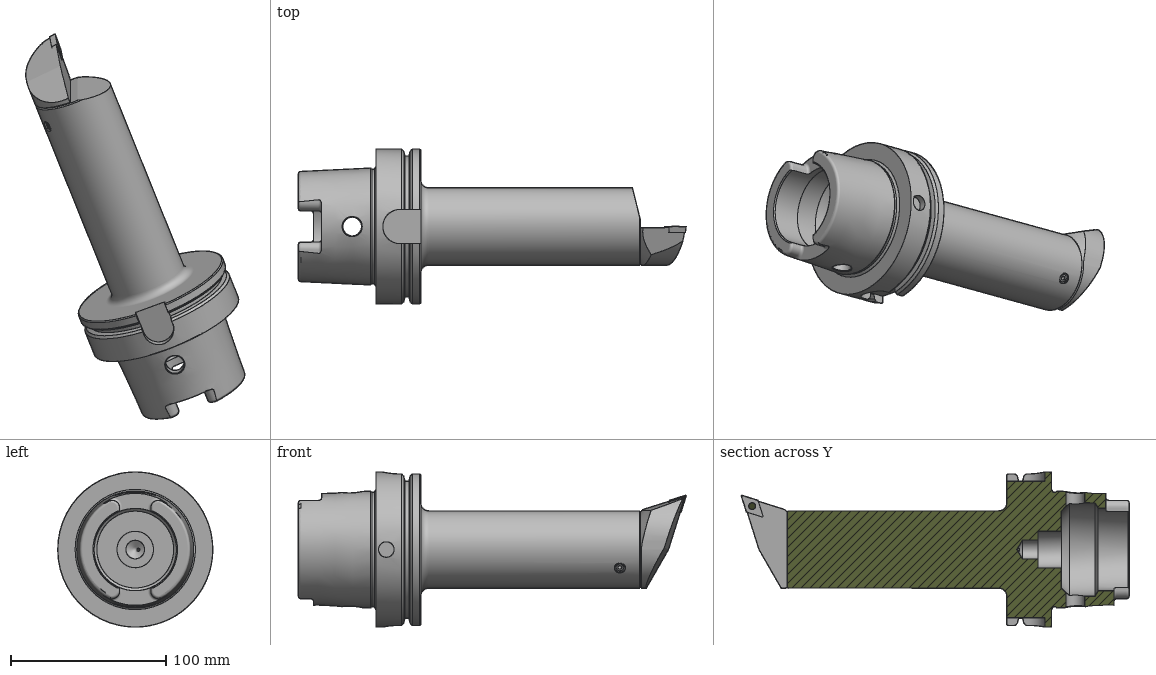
import cadquery as cq
import math


TAPER_START_R = 35.5
TAPER_END_R = 37.7
TAPER_END_X = 46.5
RIM_ROUND = 1.7
NECK_R = 37.0
NECK_START_X = 47.5
NECK_END_X = 49.0
NECK_FLARE_R = 38.7
BORE_R = 26.5
BORE_STRAIGHT_DEPTH = 20.0
CLAMP_CONE_ANGLE = 60.0
CHAMBER_R = 30.0
CHAMBER_END_X = 38.5
BORE_FLOOR_R = 24.7
BORE_MOUTH_CHAMFER = 0.7
THREAD_HOLE_R = 11.7
THREAD_HOLE_DEPTH = 15.0
COOLANT_BORE_R = 6.0
COOLANT_BORE_DEPTH = 10.0
BORE_FLOOR_X = CHAMBER_END_X + CHAMBER_R - BORE_FLOOR_R
THREAD_FLOOR_X = BORE_FLOOR_X + THREAD_HOLE_DEPTH
COOLANT_FLOOR_X = THREAD_FLOOR_X + COOLANT_BORE_DEPTH
DRILL_POINT_HALF_ANGLE = 59.0
CROSS_HOLE_X = 34.7
CROSS_HOLE_R = 6.0
CROSS_HOLE_CHAMFER = 0.5

SLOT_HALF_WIDTH = 10.0
SLOT_SHOULDER_Z = 31.7
SLOT_SHOULDER_ROUND = 5.0
SLOT_END_ROUND = 1.7
TOP_SLOT_DEPTH = 15.0
BOTTOM_SLOT_DEPTH = 9.7

FLANGE_R = 50.0
FLANGE_X = 50.0
FLANGE_END_X = 79.0
FLANGE_CHAMFER = 0.7
GROOVE_START_X = 66.5
GROOVE_END_X = 73.5
GROOVE_FLOOR_R = 45.5
GROOVE_LIP_WIDTH = 1.5
GROOVE_LIP_DEPTH = 1.5
GROOVE_FLANK_WIDTH = 0.7
TOP_KEYWAY_HALF_WIDTH = 11.0
BOTTOM_KEYWAY_HALF_WIDTH = 10.0
KEYWAY_START_X = 54.5
KEYWAY_FLOOR_Z = 44.0
CHIP_HOLE_X = 56.7
CHIP_HOLE_R = 5.0
CHIP_HOLE_DEPTH = 4.5

BAR_R = 25.0
BAR_FILLET = 5.0
BAR_CHAMFER = 0.7
BAR_END_X = 220.5
END_SLOPE = 14.0
END_CORNER_X = 221.7
END_CORNER_ROUND = 1.2
RAKE_Y = -0.7

TIP_X = 250.0
TIP_Z = 35.0
HEAD_FLAT_HEIGHT = 5.7
HEAD_UPPER_R = 31.2
TOP_EDGE_ANGLE = 17.5
HEAD_RELIEF = 7.0
HEAD_CORNER_Z = 0.0
HEAD_LOWER_X = 224.2
HEAD_INSET = 0.5

INSERT_EDGE = 11.6
INSERT_ANGLE = 55.0
INSERT_THICKNESS = 4.0
INSERT_RELIEF = 7.0
INSERT_NOSE_R = 0.5
SCREW_HEAD_R = 2.2
SCREW_SHANK_R = 1.2
SCREW_HEAD_HEIGHT = 2.0
SCREW_LENGTH = 9.0
SCREW_PROUD = 0.2

NOZZLE_X = 207.2
NOZZLE_ANGLE = 29.0
NOZZLE_R = 2.5
NOZZLE_BORE_R = 1.2
NOZZLE_LENGTH = 5.0
NOZZLE_RECESS_R = 3.5
NOZZLE_DEPTH = 1.2
CHANNEL_R = 1.0
CHANNEL_START_Y = -1.7

CLEAR = 12.5


def revolve_about_x(profile):
    """Solid of revolution of a closed XY outline about the X axis."""
    return profile.close().revolve(360, (0, 0, 0), (1, 0, 0))


def cylinder(start, direction, radius, length):
    """Cylinder from a start point along a direction."""
    return cq.Workplane(obj=cq.Solid.makeCylinder(radius, length, start, direction))


def turned_blank():
    """Outside of the taper, flange and bar in one turned shape."""
    groove_side = GROOVE_LIP_WIDTH + GROOVE_FLANK_WIDTH
    groove_lip_r = FLANGE_R - GROOVE_LIP_DEPTH
    fillet_mid = BAR_FILLET * (1 - math.sqrt(0.5))
    outline = (
        cq.Workplane("XY")
        .lineTo(0, TAPER_START_R)
        .lineTo(TAPER_END_X, TAPER_END_R)
        .lineTo(NECK_START_X, NECK_R)
        .lineTo(NECK_END_X, NECK_R)
        .lineTo(FLANGE_X, NECK_FLARE_R)
        .lineTo(FLANGE_X, FLANGE_R)
        .lineTo(GROOVE_START_X, FLANGE_R)
        .lineTo(GROOVE_START_X + GROOVE_LIP_WIDTH, groove_lip_r)
        .lineTo(GROOVE_START_X + groove_side, GROOVE_FLOOR_R)
        .lineTo(GROOVE_END_X - groove_side, GROOVE_FLOOR_R)
        .lineTo(GROOVE_END_X - GROOVE_LIP_WIDTH, groove_lip_r)
        .lineTo(GROOVE_END_X, FLANGE_R)
        .lineTo(FLANGE_END_X - FLANGE_CHAMFER, FLANGE_R)
        .lineTo(FLANGE_END_X, FLANGE_R - FLANGE_CHAMFER)
        .lineTo(FLANGE_END_X, BAR_R + BAR_FILLET)
        .threePointArc(
            (FLANGE_END_X + fillet_mid, BAR_R + fillet_mid),
            (FLANGE_END_X + BAR_FILLET, BAR_R),
        )
        .lineTo(BAR_END_X - BAR_CHAMFER, BAR_R)
        .lineTo(BAR_END_X, BAR_R - BAR_CHAMFER)
        .lineTo(BAR_END_X, 0)
    )
    return revolve_about_x(outline)


def bore():
    """Stepped hollow of the taper, ending in the coolant bore with a drill point."""
    clamp_cone_length = (CHAMBER_R - BORE_R) / math.tan(math.radians(CLAMP_CONE_ANGLE))
    drill_point = COOLANT_BORE_R / math.tan(math.radians(DRILL_POINT_HALF_ANGLE))
    outline = (
        cq.Workplane("XY")
        .lineTo(0, BORE_R + BORE_MOUTH_CHAMFER)
        .lineTo(BORE_MOUTH_CHAMFER, BORE_R)
        .lineTo(BORE_STRAIGHT_DEPTH, BORE_R)
        .lineTo(BORE_STRAIGHT_DEPTH + clamp_cone_length, CHAMBER_R)
        .lineTo(CHAMBER_END_X, CHAMBER_R)
        .lineTo(BORE_FLOOR_X, BORE_FLOOR_R)
        .lineTo(BORE_FLOOR_X, THREAD_HOLE_R)
        .lineTo(THREAD_FLOOR_X, THREAD_HOLE_R)
        .lineTo(THREAD_FLOOR_X, COOLANT_BORE_R)
        .lineTo(COOLANT_FLOOR_X, COOLANT_BORE_R)
        .lineTo(COOLANT_FLOOR_X + drill_point, 0)
    )
    return revolve_about_x(outline)


def driving_slot(depth):
    """Cutter for the +Z driving slot: a straight slot that opens out over rounded shoulders."""
    shoulder_y = SLOT_HALF_WIDTH + SLOT_SHOULDER_ROUND
    round_start_z = SLOT_SHOULDER_Z - SLOT_SHOULDER_ROUND
    outer = FLANGE_X
    cutter = (
        cq.Workplane("YZ", origin=(-CLEAR, 0, 0))
        .moveTo(-SLOT_HALF_WIDTH, 0)
        .lineTo(-SLOT_HALF_WIDTH, round_start_z)
        .radiusArc((-shoulder_y, SLOT_SHOULDER_Z), -SLOT_SHOULDER_ROUND)
        .lineTo(-outer, SLOT_SHOULDER_Z)
        .lineTo(-outer, outer)
        .lineTo(outer, outer)
        .lineTo(outer, SLOT_SHOULDER_Z)
        .lineTo(shoulder_y, SLOT_SHOULDER_Z)
        .radiusArc((SLOT_HALF_WIDTH, round_start_z), -SLOT_SHOULDER_ROUND)
        .lineTo(SLOT_HALF_WIDTH, 0)
        .close()
        .extrude(depth + CLEAR)
    )
    return cutter.faces(">X").edges().fillet(SLOT_END_ROUND)


def keyway(half_width):
    """Cutter for the +Z keyway across the flange, with a round end."""
    arc_centre_x = KEYWAY_START_X + half_width
    return (
        cq.Workplane("XY", origin=(0, 0, KEYWAY_FLOOR_Z))
        .moveTo(FLANGE_END_X, -half_width)
        .lineTo(arc_centre_x, -half_width)
        .threePointArc((KEYWAY_START_X, 0), (arc_centre_x, half_width))
        .lineTo(FLANGE_END_X, half_width)
        .close()
        .extrude(CLEAR)
    )


def flip(cutter):
    """Turn a cutter from the +Z side to the -Z side."""
    return cutter.rotate((0, 0, 0), (1, 0, 0), 180)


def head_section():
    """Cross-section of the head, drawn out along X: bar radius below, flat side, larger radius above."""
    upper_centre_y = HEAD_UPPER_R - BAR_R
    top_z = HEAD_FLAT_HEIGHT + math.sqrt(HEAD_UPPER_R**2 - upper_centre_y**2)
    return (
        cq.Workplane("YZ", origin=(BAR_END_X, 0, 0))
        .moveTo(0, -BAR_R)
        .radiusArc((-BAR_R, 0), BAR_R)
        .lineTo(-BAR_R, HEAD_FLAT_HEIGHT)
        .radiusArc((0, top_z), HEAD_UPPER_R)
        .close()
        .extrude(TIP_X - BAR_END_X)
    )


def head_flanks():
    """Prism bounded by the top, end and lower faces of the head, each with clearance towards -Y."""
    top_slope = math.tan(math.radians(TOP_EDGE_ANGLE))
    tip_x = TIP_X - HEAD_INSET
    tip_z = TIP_Z - HEAD_INSET
    corner_x = tip_x - (tip_z - HEAD_CORNER_Z) * top_slope
    lower_slope = (corner_x - HEAD_LOWER_X) / (HEAD_CORNER_Z + BAR_R)
    back_x = BAR_END_X - CLEAR
    bottom_z = -BAR_R - CLEAR
    return (
        cq.Workplane("XZ", origin=(0, RAKE_Y, 0))
        .moveTo(back_x, tip_z - (tip_x - back_x) * top_slope)
        .lineTo(tip_x, tip_z)
        .lineTo(corner_x, HEAD_CORNER_Z)
        .lineTo(HEAD_LOWER_X - CLEAR * lower_slope, bottom_z)
        .lineTo(back_x, bottom_z)
        .close()
        .extrude(BAR_R + CLEAR, taper=HEAD_RELIEF)
    )


def head_flare():
    """Cone at 45 degrees that carries the bar's end out to the wider head."""
    start_r = BAR_R - BAR_CHAMFER
    length = TIP_X - BAR_END_X
    start = cq.Vector(BAR_END_X, 0, 0)
    cone = cq.Solid.makeCone(start_r, start_r + length, length, start, cq.Vector(1, 0, 0))
    return cq.Workplane(obj=cone)


def rake_cut():
    """Cutter that slopes the bar's end on the +Y side and leaves the flat rake face."""
    top_y = BAR_R + CLEAR
    slope_run = (top_y - RAKE_Y) * math.tan(math.radians(END_SLOPE))
    return (
        cq.Workplane("XY")
        .moveTo(END_CORNER_X, RAKE_Y)
        .lineTo(TIP_X + CLEAR, RAKE_Y)
        .lineTo(TIP_X + CLEAR, top_y)
        .lineTo(END_CORNER_X - slope_run, top_y)
        .close()
        .extrude(FLANGE_R, both=True)
        .edges(cq.selectors.NearestToPointSelector((END_CORNER_X, RAKE_Y, 0)))
        .fillet(END_CORNER_ROUND)
    )


def insert_outline():
    """Rhombus with rounded corners in the XZ plane, its nose touching the tip's X and Z limits."""
    half_angle = math.radians(INSERT_ANGLE / 2)
    bisector = math.sqrt(0.5)
    nose_offset = INSERT_NOSE_R * (bisector / math.sin(half_angle) - 1)
    nose = (TIP_X + nose_offset, TIP_Z + nose_offset)
    top_angle = math.radians(TOP_EDGE_ANGLE)
    run = INSERT_EDGE * math.cos(top_angle)
    rise = INSERT_EDGE * math.sin(top_angle)
    corners = [
        nose,
        (nose[0] - run, nose[1] - rise),
        (nose[0] - run - rise, nose[1] - rise - run),
        (nose[0] - rise, nose[1] - run),
        nose,
    ]
    centre = (nose[0] - (run + rise) / 2, nose[1] - (run + rise) / 2)
    return cq.Sketch().polygon(corners).vertices().fillet(INSERT_NOSE_R), centre


INSERT_OUTLINE, INSERT_CENTRE = insert_outline()
TOWARDS_MINUS_Y = cq.Vector(0, -1, 0)
SCREW_TOP = cq.Vector(INSERT_CENTRE[0], SCREW_PROUD, INSERT_CENTRE[1])
NOZZLE_INWARD = cq.Vector(
    0,
    math.cos(math.radians(NOZZLE_ANGLE)),
    math.sin(math.radians(NOZZLE_ANGLE)),
)
NOZZLE_FACE = cq.Vector(NOZZLE_X, 0, 0) - NOZZLE_INWARD * (BAR_R - NOZZLE_DEPTH)


def make_screw():
    """Insert screw: a round head on a thinner shank."""
    head = cylinder(SCREW_TOP, TOWARDS_MINUS_Y, SCREW_HEAD_R, SCREW_HEAD_HEIGHT)
    shank = cylinder(SCREW_TOP, TOWARDS_MINUS_Y, SCREW_SHANK_R, SCREW_LENGTH)
    return head.union(shank)


def make_insert(screw):
    """Rhombic cutting insert with flank relief and a hole that fits its screw."""
    body = cq.Workplane("XZ").placeSketch(INSERT_OUTLINE).extrude(INSERT_THICKNESS, taper=INSERT_RELIEF)
    return body.cut(screw)


def make_nozzle():
    """Tubular coolant nozzle, set radially into the bar."""
    tube = cylinder(NOZZLE_FACE, NOZZLE_INWARD, NOZZLE_R, NOZZLE_LENGTH)
    return tube.cut(cylinder(NOZZLE_FACE, NOZZLE_INWARD, NOZZLE_BORE_R, NOZZLE_LENGTH))


def coolant_passage():
    """Seat and recess of the nozzle, with the sloping channel that feeds it from the coolant bore."""
    seat = cylinder(NOZZLE_FACE, NOZZLE_INWARD, NOZZLE_R, NOZZLE_LENGTH)
    recess = cylinder(NOZZLE_FACE, NOZZLE_INWARD * -1, NOZZLE_RECESS_R, CLEAR)
    channel_start = cq.Vector(COOLANT_FLOOR_X, CHANNEL_START_Y, 0)
    channel_run = NOZZLE_FACE + NOZZLE_INWARD * NOZZLE_LENGTH - channel_start
    channel = cylinder(channel_start, channel_run, CHANNEL_R, channel_run.Length)
    feed = cylinder(NOZZLE_FACE, NOZZLE_INWARD, NOZZLE_BORE_R, NOZZLE_LENGTH + CHANNEL_R)
    return seat.union(recess).union(channel).union(feed)


def make_holder(screw):
    """Hollow taper, flange, bar and cutting head in one piece."""
    head = head_section().intersect(head_flanks()).intersect(head_flare())
    holder = turned_blank().union(head).cut(rake_cut())
    holder = holder.cut(driving_slot(TOP_SLOT_DEPTH)).cut(flip(driving_slot(BOTTOM_SLOT_DEPTH)))
    holder = holder.faces("<X").edges().fillet(RIM_ROUND).cut(bore())
    holder = holder.cut(keyway(TOP_KEYWAY_HALF_WIDTH)).cut(flip(keyway(BOTTOM_KEYWAY_HALF_WIDTH)))

    cross_hole = cq.Workplane("XY").center(CROSS_HOLE_X, 0).circle(CROSS_HOLE_R).extrude(FLANGE_R, both=True)
    chip_hole_floor = cq.Vector(CHIP_HOLE_X, -FLANGE_R + CHIP_HOLE_DEPTH, 0)
    chip_hole = cylinder(chip_hole_floor, TOWARDS_MINUS_Y, CHIP_HOLE_R, CLEAR)
    insert_pocket = cq.Workplane("XZ").placeSketch(INSERT_OUTLINE).extrude(INSERT_THICKNESS)
    for cutter in (cross_hole, chip_hole, coolant_passage(), insert_pocket, screw):
        holder = holder.cut(cutter)

    for side in (-1, 1):
        rim_point = (CROSS_HOLE_X, 0, side * TAPER_END_R)
        rim = cq.selectors.NearestToPointSelector(rim_point)
        holder = holder.edges(rim).chamfer(CROSS_HOLE_CHAMFER)
    return holder


insert_screw = make_screw()
insert = make_insert(insert_screw)
nozzle = make_nozzle()
holder = make_holder(insert_screw)

result = cq.Compound.makeCompound([holder.val(), insert.val(), insert_screw.val(), nozzle.val()])